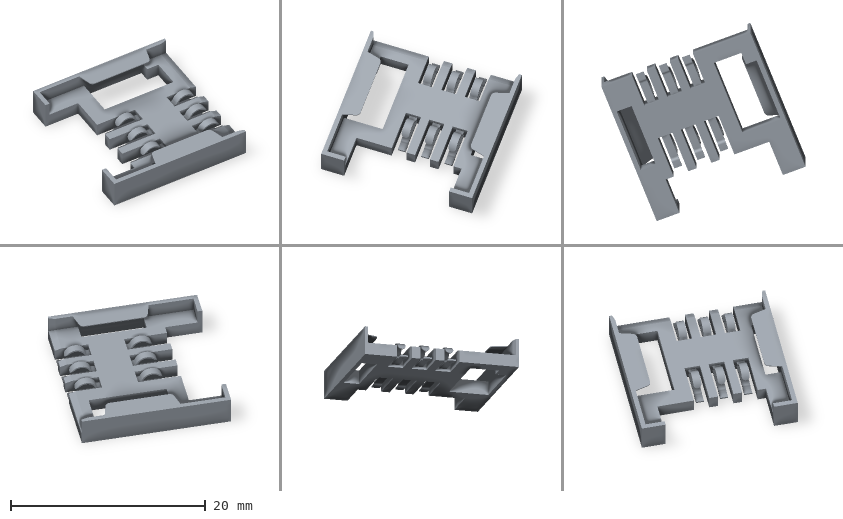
import cadquery as cq
import math


length_x = 16.4
width_y = 15.7
height = 3.0
floor_top = 1.46
wall = 0.5
leg_width = 2.5
bridge_front_y = -3.95
half_x = length_x / 2
half_y = width_y / 2
wall_x = half_x - wall

lead_in_run = 0.69
floor_lead_in = 0.21
wall_lead_in = 0.2

guide_thickness = 0.1
guide_x = 6.0
guide_rear_y = 5.35
guide_front_y = -2.64
guide_taper = 0.5
guide_round = 0.5

opening_x = (6.07, wall_x)
opening_y = (-2.08, 4.79)
window_x = (-6.55, -3.51)
window_y = (opening_y[0], 6.12)

contact_pitch = 2.55
contact_middle_x = 1.48
contact_xs = [contact_middle_x + i * contact_pitch for i in (-1, 0, 1)]
slot_width = 1.62
rear_slot_y = 4.35
front_slot_y = 0.55

strip_width = 0.84
strip = 0.16
root_depth = 0.33
spring_top = 2.0
spring_radius = 1.18
spring_middle = 1.57
spring_sweep = 73.0
spring_root_top = 1.1
root_bend = 0.26
tail_top = 0.26
tail_rise = 0.18
tail_step = 0.43
tail_foot = 0.72
rear_tail_reach = 3.45
front_tail_reach = 3.74


def block(x, y, z):
    """Box spanning the given (low, high) limits."""
    size = [high - low for low, high in (x, y, z)]
    return cq.Workplane("XY").box(*size, centered=False).translate((x[0], y[0], z[0]))


def both_sides(right):
    return right.union(right.mirror("YZ"))


def floor_plate():
    plate = block((-half_x, half_x), (-half_y, half_y), (0, floor_top))
    plate = plate.edges(">Y and >Z").chamfer(floor_lead_in, lead_in_run)
    leg_x = half_x - leg_width
    plate = plate.cut(block((-leg_x, leg_x), (-half_y, bridge_front_y), (0, floor_top)))
    plate = plate.cut(both_sides(block(opening_x, opening_y, (0, floor_top))))
    plate = plate.cut(block(window_x, window_y, (0, floor_top)))
    for x in contact_xs:
        sides = (x - slot_width / 2, x + slot_width / 2)
        plate = plate.cut(block(sides, (rear_slot_y, half_y), (0, floor_top)))
        plate = plate.cut(block(sides, (bridge_front_y, front_slot_y), (0, floor_top)))
    return plate


def right_wall():
    """Side wall, with the lead-in at its rear end and a return across the end of the leg."""
    outline = [
        (half_x, -half_y),
        (half_x, half_y),
        (wall_x + wall_lead_in, half_y),
        (wall_x, half_y - lead_in_run),
        (wall_x, -half_y + wall),
        (half_x - leg_width, -half_y + wall),
        (half_x - leg_width, -half_y),
    ]
    return cq.Workplane("XY").polyline(outline).close().extrude(height)


def right_guide():
    outline = [
        (half_x, guide_rear_y),
        (wall_x, guide_rear_y),
        (guide_x, guide_rear_y - guide_taper),
        (guide_x, guide_front_y + guide_taper),
        (wall_x, guide_front_y),
        (half_x, guide_front_y),
    ]
    guide = cq.Workplane("XY").workplane(offset=height - guide_thickness)
    guide = guide.polyline(outline).close().extrude(guide_thickness)
    return guide.edges("|Z and <X").fillet(guide_round)


def spring_strip():
    """Arched strip reaching out along +Y from the closed slot end at Y = 0."""
    centre_z = spring_top - spring_radius
    inner_radius = spring_radius - strip
    bend_z = spring_root_top + root_bend
    bend_reach = spring_radius + root_bend
    bend_angle = math.acos((bend_z - centre_z) / bend_reach)
    bend_y = spring_middle - bend_reach * math.sin(bend_angle)

    def on_arch(radius, angle):
        return (spring_middle + radius * math.sin(angle), centre_z + radius * math.cos(angle))

    def on_bend(radius, angle):
        return (bend_y + radius * math.sin(angle), bend_z - radius * math.cos(angle))

    tip_angle = math.radians(spring_sweep)
    outer_bend = root_bend + strip
    profile = (
        cq.Workplane("YZ")
        .moveTo(-root_depth, spring_root_top)
        .lineTo(*on_bend(root_bend, 0))
        .threePointArc(on_bend(root_bend, bend_angle / 2), on_bend(root_bend, bend_angle))
        .threePointArc(on_arch(spring_radius, 0), on_arch(spring_radius, tip_angle))
        .lineTo(*on_arch(inner_radius, tip_angle))
        .threePointArc(on_arch(inner_radius, 0), on_arch(inner_radius, -bend_angle))
        .threePointArc(on_bend(outer_bend, bend_angle / 2), on_bend(outer_bend, 0))
        .lineTo(-root_depth, spring_root_top - strip)
        .close()
    )
    arch = profile.extrude(strip_width / 2, both=True)

    tip_radius = strip_width / 2
    tip_y, tip_z = on_arch(spring_radius, tip_angle)
    round_z = tip_z + tip_radius
    tip_zone = block((-tip_radius, tip_radius), (spring_middle, tip_y), (0, round_z))
    rounding = cq.Workplane("XZ").center(0, round_z).circle(tip_radius).extrude(-tip_y)
    return arch.cut(tip_zone.cut(rounding))


def tail_strip(reach):
    """Solder tail along +Y, stepping up in an S-bend before it enters the floor."""
    bend_end = reach - tail_foot
    bend_start = bend_end - tail_step
    bend_middle = (bend_start + bend_end) / 2
    root_top = tail_top + tail_rise
    middle_top = tail_top + tail_rise / 2
    profile = (
        cq.Workplane("YZ")
        .moveTo(-root_depth, root_top)
        .lineTo(bend_start, root_top)
        .tangentArcPoint((bend_middle, middle_top), relative=False)
        .tangentArcPoint((bend_end, tail_top), relative=False)
        .lineTo(reach, tail_top)
        .lineTo(reach, tail_top - strip)
        .lineTo(bend_end, tail_top - strip)
        .tangentArcPoint((bend_middle, middle_top - strip), relative=False)
        .tangentArcPoint((bend_start, root_top - strip), relative=False)
        .lineTo(-root_depth, root_top - strip)
        .close()
    )
    return profile.extrude(strip_width / 2, both=True)


spring = spring_strip()
rear_contact = spring.union(tail_strip(rear_tail_reach))
front_contact = spring.union(tail_strip(front_tail_reach)).mirror("XZ")

result = floor_plate().union(both_sides(right_wall())).union(both_sides(right_guide()))
for x in contact_xs:
    result = result.union(rear_contact.translate((x, rear_slot_y, 0)))
    result = result.union(front_contact.translate((x, front_slot_y, 0)))